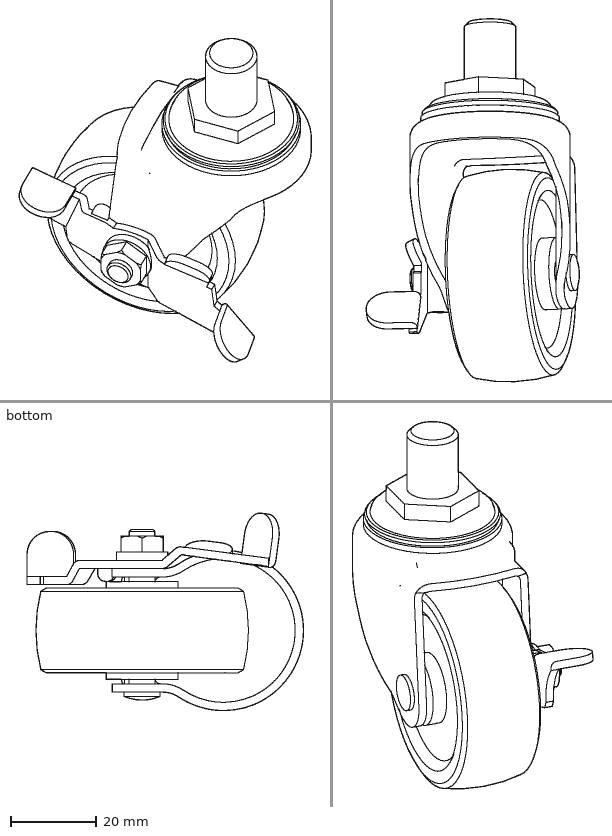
import cadquery as cq
import math


wheel_radius = 25.0
wheel_half_width = 10.0
hub_radius = 8.45
hub_half_length = 11.5
stem_x = 19.1
stem_top = 57.0
sheet = 2.0
fork_half_width = 14.5
cap_radius = 18.9
cap_top = 32.8
arch_top = 29.7
axle_radius = 3.0


def axle_hole():
    return cq.Workplane("XZ").circle(axle_radius).extrude(2 * wheel_radius, both=True)


def make_wheel():
    """Wheel with a crowned tread, a shallow recess in each side and a hub bored for the axle."""
    recess_depth = 2.0
    shoulder_radius = 22.55
    tread_edge_radius = 23.9
    tread_half_width = 9.2
    recess_radius = 19.6
    recess_floor_radius = 17.5
    floor_half_width = wheel_half_width - recess_depth
    profile = (
        cq.Workplane("XY")
        .moveTo(axle_radius, -hub_half_length)
        .lineTo(hub_radius, -hub_half_length)
        .lineTo(hub_radius, -floor_half_width)
        .lineTo(recess_floor_radius, -floor_half_width)
        .lineTo(recess_radius, -wheel_half_width)
        .lineTo(shoulder_radius, -wheel_half_width)
        .lineTo(tread_edge_radius, -tread_half_width)
        .threePointArc((wheel_radius, 0), (tread_edge_radius, tread_half_width))
        .lineTo(shoulder_radius, wheel_half_width)
        .lineTo(recess_radius, wheel_half_width)
        .lineTo(recess_floor_radius, floor_half_width)
        .lineTo(hub_radius, floor_half_width)
        .lineTo(hub_radius, hub_half_length)
        .lineTo(axle_radius, hub_half_length)
        .close()
    )
    return profile.revolve(360, (0, 0, 0), (0, 1, 0))


arm_end_radius = 8.45
arch_front_x = -6.2
nose_x = 0.65
arch_lip_z = 27.5
trim_margin = 4.1


def cap_outline():
    """Plan of the cap: a circle that narrows through concave flares to the arms."""
    flare_x = 4.75
    nose_corner_x = 1.2
    side = fork_half_width
    run = stem_x - flare_x
    flare_radius = (run**2 + side**2 - cap_radius**2) / (2 * (cap_radius - side))
    flare_y = side + flare_radius
    reach = flare_radius / math.hypot(run, flare_y)
    joint = (flare_x + run * reach, flare_y * (1 - reach))
    half_angle = math.atan2(joint[0] - flare_x, flare_y - joint[1]) / 2
    flare_mid = (
        flare_x + flare_radius * math.sin(half_angle),
        flare_y - flare_radius * math.cos(half_angle),
    )
    return (
        cq.Workplane("XY")
        .moveTo(nose_corner_x, -side)
        .lineTo(flare_x, -side)
        .threePointArc((flare_mid[0], -flare_mid[1]), (joint[0], -joint[1]))
        .threePointArc((stem_x + cap_radius, 0), joint)
        .threePointArc(flare_mid, (flare_x, side))
        .lineTo(nose_corner_x, side)
        .threePointArc((nose_x, 0), (nose_corner_x, -side))
        .close()
    )


def fork_block(inset):
    """Solid envelope of the fork, shrunk by the inset on every face."""
    base = -2 * arm_end_radius
    nose_corner_radius = 3.4
    cap_edge_radius = 3.3 - inset
    arch_bend_radius = 3.9 - inset
    nose_blend_radius = 0.65
    strip_end = -9.8
    strip_length = 19.7
    outline = cap_outline()
    if inset:
        outline = outline.offset2D(-inset)
    cap = outline.extrude(cap_top - inset - base).translate((0, 0, base))
    cap = cap.edges("|Z").edges("<X").fillet(nose_corner_radius - inset)
    cap = cap.faces(">Z").edges().fillet(cap_edge_radius)
    half_width = fork_half_width - inset
    arch = (
        cq.Workplane("XY")
        .box(strip_length, 2 * half_width, arch_top - inset - base, centered=(False, True, False))
        .translate((strip_end, 0, base))
        .edges("|X and >Z")
        .fillet(arch_bend_radius)
    )
    block = cap.union(arch)
    if not inset:
        block = block.edges(cq.NearestToPointSelector((nose_x, 0, arch_top))).fillet(nose_blend_radius)
    return block


def fork_side_shape():
    """Side outline that trims the arms and the skirt, run through the full width."""
    above = cap_top + trim_margin
    behind = stem_x + cap_radius + trim_margin
    skirt_z = 26.1
    arm_front_x = -4.1
    arm_front_x_at_axle = -6.9
    outline = (
        cq.Workplane("XZ")
        .moveTo(arch_front_x, above)
        .lineTo(arch_front_x, arch_lip_z)
        .lineTo(arm_front_x, arch_lip_z)
        .lineTo(arm_front_x_at_axle, 0)
        .threePointArc((-5.4, -6.0), (0, -arm_end_radius))
        .threePointArc((4.2, -7.4), (7.3, -4.3))
        .lineTo(9.8, -0.8)
        .lineTo(15.6, 7.3)
        .lineTo(19.6, 13.7)
        .lineTo(25.9, 21.0)
        .threePointArc((29.9, 25.1), (33.6, skirt_z))
        .lineTo(behind, skirt_z)
        .lineTo(behind, above)
        .close()
    )
    return outline.extrude(2 * cap_radius, both=True)


def arch_front_trim():
    """Block ahead of the arch, hollowed by a large cylinder that leaves a bowed front edge."""
    bow_radius = 50.4
    depth = 6.6
    block = cq.Workplane("XY").box(depth, 2 * cap_radius, depth, centered=(False, True, False))
    block = block.translate((arch_front_x - depth / 2, 0, arch_lip_z))
    bow = cq.Workplane("XY").center(arch_front_x + bow_radius, 0).circle(bow_radius).extrude(cap_top)
    return block.cut(bow)


def make_fork():
    """Pressed sheet fork: a hollow shell trimmed from the side and from the front."""
    shell = fork_block(0).cut(fork_block(sheet))
    return shell.intersect(fork_side_shape()).cut(arch_front_trim()).cut(axle_hole())


def make_stem():
    """Swivel plate and dome with a hexagon and the threaded stem on top, all on one axis."""
    thread_radius = 6.1
    tip_chamfer = 1.0
    hex_across_flats = 19.0
    hex_top = 42.1
    hex_bottom = 38.05
    dome_radius = 14.7
    dome_top_radius = 12.3
    dome_bottom = 35.9
    dome_shoulder = (14.0, 37.4)
    ring_radius = 16.0
    ring_edge_z = 35.4
    ring_top_radius = 15.6
    neck_radius = 15.5
    plate_radius = 16.3
    plate_top = 34.3
    base = (
        cq.Workplane("XZ")
        .moveTo(0, cap_top)
        .lineTo(plate_radius, cap_top)
        .lineTo(plate_radius, plate_top)
        .lineTo(neck_radius, plate_top)
        .lineTo(ring_radius, ring_edge_z)
        .lineTo(ring_top_radius, dome_bottom)
        .lineTo(dome_radius, dome_bottom)
        .threePointArc(dome_shoulder, (dome_top_radius, hex_bottom))
        .lineTo(0, hex_bottom)
        .close()
        .revolve(360, (0, 0, 0), (0, 1, 0))
    )
    nut = (
        cq.Workplane("XY", origin=(0, 0, hex_bottom))
        .polygon(6, hex_across_flats / math.cos(math.pi / 6))
        .extrude(hex_top - hex_bottom)
    )
    thread = (
        cq.Workplane("XY", origin=(0, 0, hex_bottom))
        .circle(thread_radius)
        .extrude(stem_top - hex_bottom)
        .faces(">Z")
        .chamfer(tip_chamfer)
    )
    return base.union(nut).union(thread).translate((stem_x, 0, 0))


lever_face = -fork_half_width - sheet
flange_radius = 6.1
flange_thickness = 2.0


def nut_flange():
    return cq.Workplane("XZ", origin=(0, lever_face, 0)).circle(flange_radius).extrude(flange_thickness)


def make_axle():
    tip_y = -23.8
    tip_chamfer = 0.5
    head_radius = 4.3
    head_rim = 1.0
    dome_rise = 0.9
    dome_radius = (head_radius**2 + dome_rise**2) / (2 * dome_rise)
    nut_across_flats = 10.0
    nut_height = 3.7
    nut_chamfer = 0.5
    rod = (
        cq.Workplane("XZ", origin=(0, fork_half_width, 0))
        .circle(axle_radius)
        .extrude(fork_half_width - tip_y)
        .faces("<Y")
        .chamfer(tip_chamfer)
    )
    head = (
        cq.Workplane("XY")
        .moveTo(0, fork_half_width)
        .lineTo(head_radius, fork_half_width)
        .lineTo(head_radius, fork_half_width + head_rim)
        .radiusArc((0, fork_half_width + head_rim + dome_rise), -dome_radius)
        .close()
        .revolve(360, (0, 0, 0), (0, 1, 0))
    )
    nut_corner_diameter = nut_across_flats / math.cos(math.pi / 6)
    nut_plane = cq.Workplane("XZ", origin=(0, lever_face - flange_thickness, 0))
    nut = nut_plane.polygon(6, nut_corner_diameter).extrude(nut_height).rotate((0, 0, 0), (0, 1, 0), 30)
    nut_turning = nut_plane.circle(nut_corner_diameter / 2).extrude(nut_height)
    nut_turning = nut_turning.faces("<Y").chamfer(nut_chamfer)
    return rod.union(head).union(nut_flange()).union(nut.intersect(nut_turning))


lever_back = -fork_half_width
front_wing_back = -10.75
rear_wing_back = -17.8
rear_wing_turn = 7.7
front_bend_tilt = 19.0
bend_radius = 1.8
tab_bend_radius = 1.6
pedal_fold = (-27.1, 12.7)
release_fold = (23.1, -8.7)
stop_fold = (10.1, 3.0)


def bent_strip(back, near, back_bend, near_bend):
    """Strip of sheet with an S-bend, given in plan, with the outside of both bends rounded."""
    strip = cq.Workplane("XY").polyline(back + near).close().extrude(wheel_radius, both=True)
    for bend in (back_bend, near_bend):
        strip = strip.edges(cq.NearestToPointSelector((*bend, 0))).fillet(bend_radius)
    return strip


def front_strip():
    """Strip that carries the front wing, before its outline is cut."""
    wing_end = -36.9
    base_end = 2.5
    back_bend = (-15.6, front_wing_back)
    near_bend = (-14.4, lever_face)
    back = [(wing_end, front_wing_back), back_bend, (-13.45, lever_back), (base_end, lever_back)]
    near_step = (-16.6, front_wing_back - sheet)
    near = [(base_end, lever_face), near_bend, near_step, (wing_end, front_wing_back - sheet)]
    strip = bent_strip(back, near, back_bend, near_bend)
    return strip.rotate((0, 0, 0), (0, 1, 0), front_bend_tilt)


def rear_strip():
    """Strip that carries the rear wing, before its outline is cut."""
    wing_end = 36.9
    base_end = -6.6
    back_bend = (5.4, lever_back)
    near_bend = (8.45, rear_wing_back - sheet)
    back_step = (9.3, rear_wing_back)
    drift = math.tan(math.radians(rear_wing_turn)) * (wing_end - back_step[0])
    back = [(base_end, lever_back), back_bend, back_step, (wing_end, rear_wing_back + drift)]
    near = [(wing_end, rear_wing_back - sheet + drift), near_bend, (4.7, lever_face), (base_end, lever_face)]
    return bent_strip(back, near, back_bend, near_bend)


def lever_outline():
    """Side outline of the lever, from the pedal fold down the front and along the lower edge."""
    return (
        cq.Workplane("XZ")
        .moveTo(*pedal_fold)
        .threePointArc((-24.6, 8.6), (-23.95, 3.1))
        .lineTo(-23.2, 1.4)
        .lineTo(-14.7, -1.55)
        .lineTo(0.4, -8.0)
        .lineTo(3.85, -8.85)
        .lineTo(7.2, -9.1)
        .lineTo(9.3, -9.8)
        .lineTo(23.0, -16.65)
        .threePointArc((26.0, -17.8), (29.8, -18.1))
        .lineTo(29.8, -17.4)
        .lineTo(*release_fold)
        .lineTo(22.0, -7.7)
        .lineTo(21.4, -2.5)
        .lineTo(20.2, -1.9)
        .lineTo(20.75, -0.6)
        .lineTo(*stop_fold)
        .lineTo(4.75, 6.3)
        .threePointArc((0.4, 7.2), (-4.1, 7.0))
        .lineTo(-6.15, 8.1)
        .lineTo(-10.9, 9.2)
        .lineTo(-14.8, 9.6)
        .close()
    )


def tab(fold, back, width, reach, slope, corner, turn=0.0, lean=0.0, root=0.0):
    """Rounded tab that stands out towards -Y from a sloping fold line.

    The fold gives the X and Z where that line starts, and back is its Y.
    The slope is the fall of the fold line along X, the turn follows the wing in plan,
    the lean tips the tab upwards, and the root runs back into the lever.
    """
    plate = (
        cq.Workplane("XY")
        .box(width, reach + root, sheet, centered=False)
        .translate((0, -reach, 0))
        .edges("|Z and <Y")
        .fillet(corner)
        .edges("|X and >Y and >Z")
        .fillet(tab_bend_radius)
    )
    return (
        plate.rotate((0, 0, 0), (1, 0, 0), -lean)
        .rotate((0, 0, 0), (0, 1, 0), slope)
        .rotate((0, 0, 0), (0, 0, 1), turn)
        .translate((fold[0], back, fold[1]))
    )


def make_lever(fork):
    """Double-bent sheet lever with a foot pedal, a release pedal, a stop tab and an inward catch."""
    sheet_blank = front_strip().union(rear_strip())
    plate = sheet_blank.intersect(lever_outline().extrude(2 * wheel_radius))
    pedal = tab(pedal_fold, front_wing_back, width=11.3, reach=12.55, slope=14.3, corner=5.5)
    release = tab(
        release_fold, -15.75, width=10.9, reach=12.4, slope=52.6, corner=5.3, turn=rear_wing_turn
    )
    stop = tab(
        stop_fold, -19.6, width=11.2, reach=5.1, slope=18.7, corner=4.1,
        turn=rear_wing_turn, lean=65, root=1.6,
    )
    catch = tab((-6.5, 6.3), -lever_face, width=4.1, reach=5.0, slope=-14.3, corner=2.0)
    catch = catch.rotate((-6.5, 0, 0), (-6.5, 0, 1), 180)
    lever = plate.union(pedal).union(release).union(stop).union(catch)
    return lever.cut(axle_hole()).cut(nut_flange()).cut(fork)


wheel = make_wheel()
fork = make_fork()
stem = make_stem()
axle = make_axle()
lever = make_lever(fork)

result = cq.Compound.makeCompound([wheel.val(), fork.val(), stem.val(), axle.val(), lever.val()])